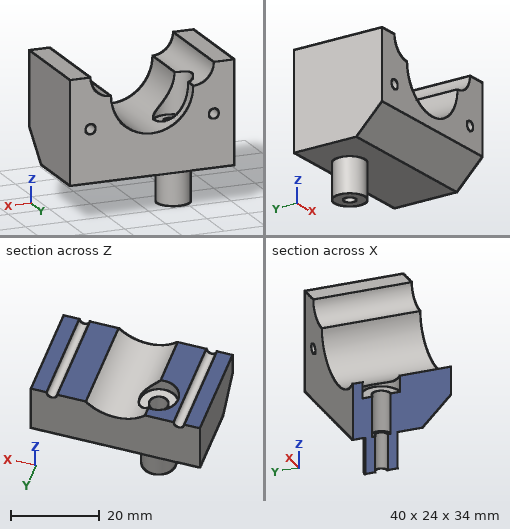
import cadquery as cq

length = 40
depth = 24
height = 25.0
chamfer = 7.0

groove_radius = 10
shoulder_radius = 5.0
groove_axis_z = height - shoulder_radius
groove_floor_z = groove_axis_z - groove_radius

screw_hole_diameter = 2.4
screw_hole_x = groove_radius + shoulder_radius
screw_hole_z = 12.8

peg_diameter = 8
peg_length = 9.0
peg_x = -8
peg_y = 17.0
spotface_diameter = 9.0
bore_diameter = 4.4
through_diameter = 3.0


def make_block():
    """Block with the lower front edge cut off at 45 degrees."""
    side = [(0, chamfer), (chamfer, 0), (depth, 0), (depth, height), (0, height)]
    return cq.Workplane("YZ").polyline(side).close().extrude(length / 2, both=True)


def rod_along_y(x, z, radius):
    """Cylinder running through the full depth of the block."""
    return cq.Workplane("XZ").center(x, z).circle(radius).extrude(-depth)


def peg_cylinder(diameter, bottom_z, top_z):
    """Upright cylinder on the peg axis between two heights."""
    base = cq.Workplane("XY", origin=(peg_x, peg_y, bottom_z))
    return base.circle(diameter / 2).extrude(top_z - bottom_z)


body = make_block().union(peg_cylinder(peg_diameter, -peg_length, groove_floor_z))

opening = cq.Workplane("XY", origin=(0, depth / 2, groove_axis_z)).box(
    2 * groove_radius, depth, shoulder_radius, centered=(True, True, False)
)
body = body.cut(rod_along_y(0, groove_axis_z, groove_radius)).cut(opening)

for side in (-1, 1):
    body = body.cut(rod_along_y(side * groove_radius, height, shoulder_radius))
    body = body.cut(rod_along_y(side * screw_hole_x, screw_hole_z, screw_hole_diameter / 2))

body = body.cut(peg_cylinder(spotface_diameter, groove_floor_z, height))
body = body.cut(peg_cylinder(bore_diameter, 0, groove_floor_z))
body = body.cut(peg_cylinder(through_diameter, -peg_length, groove_floor_z))

result = body